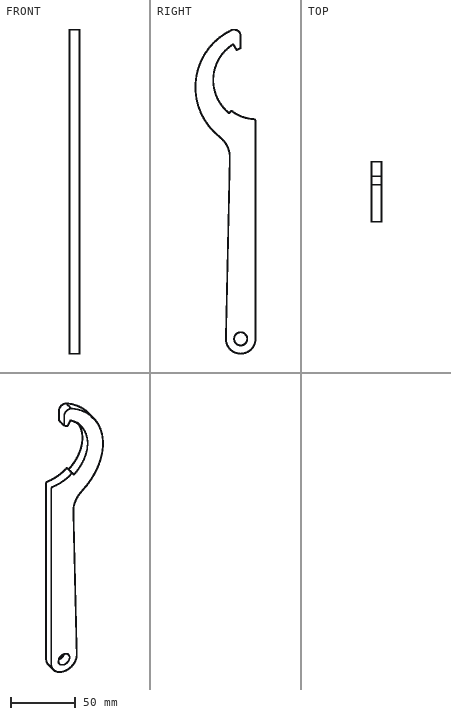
import cadquery as cq
import math

thickness = 8.0
overall_width = 46.52
overall_height = 250.0

handle_end_radius = 11.5
handle_end_center = (0.0, 0.0)
handle_edge_y = handle_end_radius
hole_diameter = 10.0
taper_angle = math.radians(1.25)
edge_normal_angle = math.pi - taper_angle

jaw_center = (handle_edge_y, 199.5)
seat_radius = 30.0
relief_radius = 32.6
tooth_tip_radius = 27.3
heel_angle = math.radians(231.4)
tooth_angle = math.radians(122.2)
hook_end_inset = 11.5
hook_end_y = handle_edge_y - hook_end_inset
hook_top_z = overall_height - handle_end_radius

back_radius = 48.7
back_center = (handle_edge_y - overall_width + back_radius, 194.1)
neck_radius = 20.0

heel_corner = (handle_edge_y, jaw_center[1] - seat_radius)
hook_corner = (hook_end_y, hook_top_z)
heel_corner_radius = 1.5
hook_corner_radius = 5.0


def polar(center, radius, angle):
    """Point at a radius and an angle (from +Y towards +Z) about a centre."""
    return (center[0] + radius * math.cos(angle), center[1] + radius * math.sin(angle))


def top_of_circle_at(center, radius, y):
    """Upper point of a circle at the given Y."""
    return (y, center[1] + math.sqrt(radius**2 - (y - center[0]) ** 2))


def angle_about(center, point):
    """Angle of a point about a centre, from +Y towards +Z."""
    return math.atan2(point[1] - center[1], point[0] - center[0])


def arc(outline, center, radius, start_angle, end_angle):
    """Continue the outline along a circle to the end angle."""
    middle = polar(center, radius, (start_angle + end_angle) / 2)
    return outline.threePointArc(middle, polar(center, radius, end_angle))


def find_neck_center():
    """Centre of the circle tangent to the tapered edge and to the hook back, outside both."""
    edge_distance = handle_end_radius + neck_radius
    on_normal = polar(handle_end_center, edge_distance, edge_normal_angle)
    up_edge = edge_normal_angle - math.pi / 2
    offset_y = on_normal[0] - back_center[0]
    offset_z = on_normal[1] - back_center[1]
    along = offset_y * math.cos(up_edge) + offset_z * math.sin(up_edge)
    gap = offset_y**2 + offset_z**2 - (back_radius + neck_radius) ** 2
    return polar(on_normal, -along - math.sqrt(along**2 - gap), up_edge)


def make_plate():
    """Extruded outline, with the heel and hook-end corners still sharp."""
    heel_start_angle = 1.5 * math.pi
    tooth_end = top_of_circle_at(jaw_center, tooth_tip_radius, hook_end_y)
    back_start_angle = math.pi - math.asin((hook_top_z - back_center[1]) / back_radius)
    neck_center = find_neck_center()
    back_end_angle = angle_about(back_center, neck_center) % (2 * math.pi)
    neck_start_angle = back_end_angle - math.pi
    neck_end_angle = edge_normal_angle - math.pi

    outline = cq.Workplane("YZ").moveTo(handle_edge_y, handle_end_center[1])
    outline = outline.lineTo(*heel_corner)
    outline = arc(outline, jaw_center, seat_radius, heel_start_angle, heel_angle)
    outline = outline.lineTo(*polar(jaw_center, relief_radius, heel_angle))
    outline = arc(outline, jaw_center, relief_radius, heel_angle, tooth_angle)
    outline = outline.lineTo(*polar(jaw_center, tooth_tip_radius, tooth_angle))
    outline = arc(outline, jaw_center, tooth_tip_radius, tooth_angle, angle_about(jaw_center, tooth_end))
    outline = outline.lineTo(*hook_corner)
    outline = outline.lineTo(*polar(back_center, back_radius, back_start_angle))
    outline = arc(outline, back_center, back_radius, back_start_angle, back_end_angle)
    outline = arc(outline, neck_center, neck_radius, neck_start_angle, neck_end_angle)
    outline = outline.lineTo(*polar(handle_end_center, handle_end_radius, edge_normal_angle))
    outline = arc(outline, handle_end_center, handle_end_radius, edge_normal_angle, 2 * math.pi)
    return outline.close().extrude(thickness / 2, both=True)


def round_corner(body, corner, radius):
    """Fillet the edge along X that passes through an outline corner."""
    nearest = cq.selectors.NearestToPointSelector((0.0, *corner))
    return body.edges("|X").edges(nearest).fillet(radius)


def cut_hanging_hole(body):
    """Round hole through the lower end of the handle."""
    hole = cq.Workplane("YZ").center(*handle_end_center).circle(hole_diameter / 2)
    return body.cut(hole.extrude(thickness, both=True))


plate = make_plate()
plate = round_corner(plate, heel_corner, heel_corner_radius)
plate = round_corner(plate, hook_corner, hook_corner_radius)
result = cut_hanging_hole(plate)